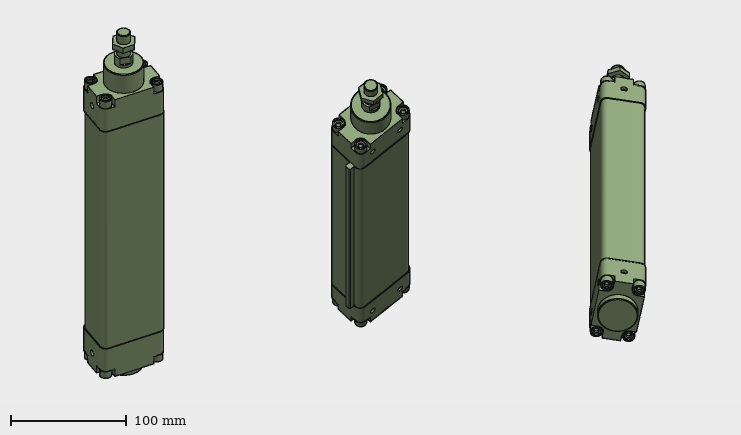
import cadquery as cq
import math

TOTAL_HEIGHT = 364.5
REAR_COLLAR_HEIGHT = 6.5
FRONT_COLLAR_HEIGHT = 20.5
CAP_HEIGHT = 32.8
BARREL_HEIGHT = 238.5
BARREL_BOTTOM = REAR_COLLAR_HEIGHT + CAP_HEIGHT
BARREL_MIDDLE = BARREL_BOTTOM + BARREL_HEIGHT / 2
FRONT_CAP_TOP = BARREL_BOTTOM + BARREL_HEIGHT + CAP_HEIGHT
COLLAR_TOP = FRONT_CAP_TOP + FRONT_COLLAR_HEIGHT

CAP_WIDTH = 40.0
CAP_DEPTH = 61.5
CAP_CORNER_RADIUS = 6.0
COLLAR_DIAMETER = 35.0
COLLAR_CHAMFER = 0.7

SCREW_X = CAP_WIDTH / 2 - CAP_CORNER_RADIUS
SCREW_Y = CAP_DEPTH / 2 - CAP_CORNER_RADIUS
POCKET_DIAMETER = 12.0
POCKET_RADIUS = POCKET_DIAMETER / 2
POCKET_DEPTH = 7.5
SCREW_HEAD_DIAMETER = 10.5
SCREW_RECESS_DIAMETER = 8.0
SCREW_RECESS_DEPTH = 2.0
SCREW_SOCKET_DIAMETER = 4.7
SCREW_SOCKET_DEPTH = 4.5

SIDE_HOLE_HEIGHT = 16.0
MOUNTING_HOLE_DIAMETER = 5.5
MOUNTING_HOLE_DEPTH = 5.5
MOUNTING_HOLE_SPACING = 32.0
DRILL_POINT_ANGLE = 118
PORT_DIAMETER = 5.5
PORT_DEPTH = 3.0
PORT_BORE_DIAMETER = 4.0
PORT_BORE_DEPTH = 6.0

BARREL_WIDTH = 38.5
BARREL_FRONT_Y = -30.0
BARREL_BACK_Y = 31.5
BARREL_CORNER_RADIUS = 5.5
RAIL_WIDTH = 6.0
RAIL_X = -10.0
RAIL_BACK_Y = CAP_DEPTH / 2 + 6.0
RAIL_CHAMFER = 1.0

ROD_DIAMETER = 16.0
ROD_SHOULDER_Z = 340.8
ROD_TIP_DIAMETER = 10.5
THREAD_DIAMETER = 12.0
FLATS_WIDTH = 12.8
FLATS_HEIGHT = 7.0
FLATS_ANGLE = -14

NUT_WIDTH = 19.0
NUT_HEIGHT = 6.0
NUT_BOTTOM = 349.2
HEXAGON_HALF_ANGLE = 30


def cylinder(diameter, bottom, height):
    """Upright cylinder on the Z axis."""
    return cq.Workplane("XY", origin=(0, 0, bottom)).circle(diameter / 2).extrude(height)


def rounded_block(width, front_y, back_y, corner_radius, bottom, height):
    """Upright block, centred in X, with rounded vertical edges."""
    block = cq.Workplane("XY", origin=(0, (front_y + back_y) / 2, bottom))
    block = block.rect(width, back_y - front_y).extrude(height)
    return block.edges("|Z").fillet(corner_radius)


def drilled_hole(diameter, depth):
    """Cutter for a blind hole that runs from the origin up to a conical drill point."""
    radius = diameter / 2
    point_height = radius / math.tan(math.radians(DRILL_POINT_ANGLE / 2))
    profile = [(0, 0), (radius, 0), (radius, depth), (0, depth + point_height)]
    return cq.Workplane("XZ").polyline(profile).close().revolve(360, (0, 0, 0), (0, 1, 0))


def make_screw_pocket():
    """Cutter for a pocket around the Z axis, round on the inner side and open toward -X and -Y."""
    size = POCKET_RADIUS + 2 * CAP_CORNER_RADIUS
    centre = POCKET_RADIUS - size / 2
    pocket = cq.Workplane("XY").center(centre, centre).rect(size, size).extrude(POCKET_DEPTH)
    return pocket.edges("|Z and >X and >Y").fillet(POCKET_RADIUS)


def make_screw_head():
    """Screw head that fills the middle of a pocket, recessed and drilled from the bottom."""
    head = cylinder(SCREW_HEAD_DIAMETER, 0, POCKET_DEPTH)
    head = head.cut(cylinder(SCREW_RECESS_DIAMETER, 0, SCREW_RECESS_DEPTH))
    return head.cut(drilled_hole(SCREW_SOCKET_DIAMETER, SCREW_SOCKET_DEPTH))


def mirrored_to_corners(shape):
    """Four copies of a shape made for the -X, -Y screw, one at each screw."""
    corner = shape.translate((-SCREW_X, -SCREW_Y, REAR_COLLAR_HEIGHT))
    pair = corner.union(corner.mirror("YZ"))
    return pair.union(pair.mirror("XZ"))


def make_mounting_holes():
    """Cutter for the two drilled holes in the -X side of the rear cap."""
    hole = drilled_hole(MOUNTING_HOLE_DIAMETER, MOUNTING_HOLE_DEPTH)
    hole = hole.rotate((0, 0, 0), (0, 1, 0), 90)
    hole = hole.translate(
        (-CAP_WIDTH / 2, MOUNTING_HOLE_SPACING / 2, REAR_COLLAR_HEIGHT + SIDE_HOLE_HEIGHT)
    )
    return hole.union(hole.mirror("XZ"))


def make_port():
    """Cutter for the stepped air port in the -Y side of the rear cap."""
    face = cq.Workplane("XZ", origin=(0, -CAP_DEPTH / 2, REAR_COLLAR_HEIGHT + SIDE_HOLE_HEIGHT))
    mouth = face.circle(PORT_DIAMETER / 2).extrude(-PORT_DEPTH)
    bore = face.circle(PORT_BORE_DIAMETER / 2).extrude(-PORT_BORE_DEPTH)
    return mouth.union(bore)


def make_rear_cap():
    cap = rounded_block(
        CAP_WIDTH, -CAP_DEPTH / 2, CAP_DEPTH / 2, CAP_CORNER_RADIUS, REAR_COLLAR_HEIGHT, CAP_HEIGHT
    )
    cap = cap.cut(mirrored_to_corners(make_screw_pocket()))
    cap = cap.union(mirrored_to_corners(make_screw_head()))
    return cap.cut(make_mounting_holes()).cut(make_port())


def make_barrel():
    barrel = rounded_block(
        BARREL_WIDTH, BARREL_FRONT_Y, BARREL_BACK_Y, BARREL_CORNER_RADIUS, BARREL_BOTTOM, BARREL_HEIGHT
    )
    rail = cq.Workplane("XY", origin=(RAIL_X, RAIL_BACK_Y / 2, BARREL_BOTTOM))
    rail = rail.rect(RAIL_WIDTH, RAIL_BACK_Y).extrude(BARREL_HEIGHT)
    return barrel.union(rail.edges("|Z and >Y").chamfer(RAIL_CHAMFER))


def make_housing():
    """Barrel, two mirrored caps and the two collars, in one solid."""
    rear_cap = make_rear_cap()
    front_cap = rear_cap.mirror("XY", (0, 0, BARREL_MIDDLE))
    rear_collar = cylinder(COLLAR_DIAMETER, 0, REAR_COLLAR_HEIGHT)
    rear_collar = rear_collar.faces("<Z").chamfer(COLLAR_CHAMFER)
    front_collar = cylinder(COLLAR_DIAMETER, FRONT_CAP_TOP, FRONT_COLLAR_HEIGHT)
    front_collar = front_collar.faces(">Z").chamfer(COLLAR_CHAMFER)
    return make_barrel().union(rear_cap).union(front_cap).union(rear_collar).union(front_collar)


def make_rod():
    """Piston rod that stands on the front collar, with wrench flats and a threaded end."""
    rod = cylinder(ROD_DIAMETER, COLLAR_TOP, ROD_SHOULDER_Z - COLLAR_TOP)
    flats = cq.Workplane("XY", origin=(0, 0, ROD_SHOULDER_Z - FLATS_HEIGHT))
    flats = flats.rect(2 * ROD_DIAMETER, 2 * ROD_DIAMETER).rect(FLATS_WIDTH, 2 * ROD_DIAMETER)
    flats = flats.extrude(FLATS_HEIGHT).rotate((0, 0, 0), (0, 0, 1), FLATS_ANGLE)
    thread = cylinder(THREAD_DIAMETER, ROD_SHOULDER_Z, TOTAL_HEIGHT - ROD_SHOULDER_Z)
    thread = thread.faces(">Z").chamfer((THREAD_DIAMETER - ROD_TIP_DIAMETER) / 2)
    return rod.cut(flats).union(thread)


def make_nut():
    """Hexagon nut with two corners on the Y axis."""
    corner_diameter = NUT_WIDTH / math.cos(math.radians(HEXAGON_HALF_ANGLE))
    nut = cq.Workplane("XY", origin=(0, 0, NUT_BOTTOM)).polygon(6, corner_diameter).extrude(NUT_HEIGHT)
    nut = nut.rotate((0, 0, 0), (0, 0, 1), HEXAGON_HALF_ANGLE)
    return nut.cut(cylinder(THREAD_DIAMETER, NUT_BOTTOM, NUT_HEIGHT))


housing = make_housing()
rod = make_rod()
nut = make_nut()

result = cq.Compound.makeCompound([housing.val(), rod.val(), nut.val()])